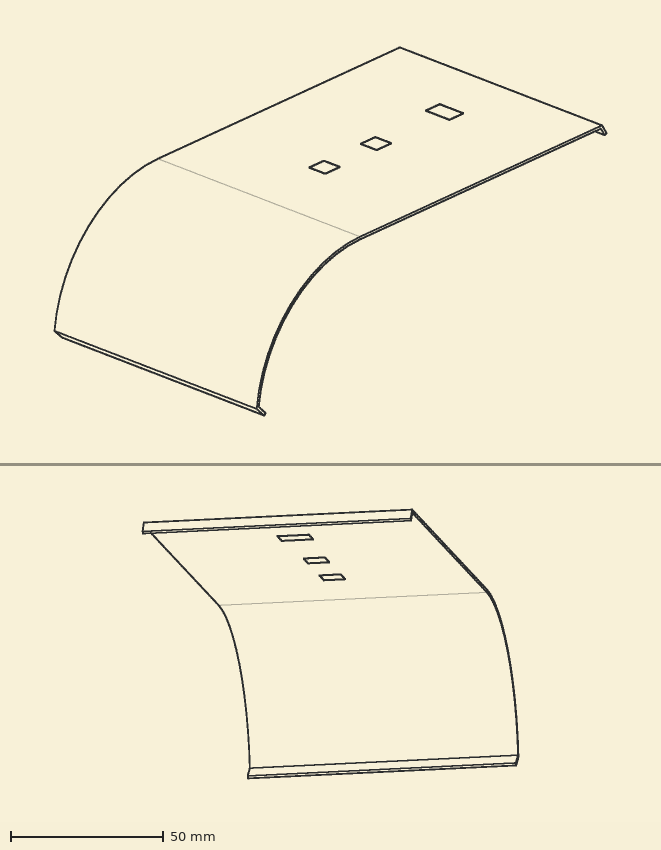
import cadquery as cq
import math

width = 90.0
length = 170.1
height = 49.0
thickness = 1.0

pad_rise = 0.2
pads = [
    (55.5, 10.5, 6.8),
    (22.1, 7.1, 7.1),
    (-2.9, 7.1, 7.1),
]

bend_start_y = -34.7
back_lip_run = 2.2
back_lip_angle = math.radians(58)
front_lip_drop = 3.7
front_lip_angle = math.radians(45)

front_y = -length / 2
fold_z = -(height - pad_rise - front_lip_drop)
bend_run = bend_start_y - front_y
outer_radius = (bend_run**2 + fold_z**2) / (2 * -fold_z)
inner_radius = outer_radius - thickness
center_z = -outer_radius
bend_angle = math.atan2(bend_run, fold_z - center_z)


def bend_point(radius, angle):
    """Point (Y, Z) on the bend, with the angle measured from the tangent line."""
    return (bend_start_y - radius * math.sin(angle), center_z + radius * math.cos(angle))


def shifted(point, direction, distance):
    """Point moved along a unit direction."""
    return (point[0] + direction[0] * distance, point[1] + direction[1] * distance)


back_fold = (length / 2 - back_lip_run, 0)
back_tip = (length / 2, -back_lip_run * math.tan(back_lip_angle))
back_inward = (-math.sin(back_lip_angle), -math.cos(back_lip_angle))
back_tip_inner = shifted(back_tip, back_inward, thickness)
back_fold_inner = (back_fold[0] - thickness * math.tan(back_lip_angle / 2), -thickness)

front_fold = (front_y, fold_z)
front_along = (math.cos(front_lip_angle), -math.sin(front_lip_angle))
front_inward = (math.sin(front_lip_angle), math.cos(front_lip_angle))
front_tip = shifted(front_fold, front_along, front_lip_drop / math.sin(front_lip_angle))
front_tip_inner = shifted(front_tip, front_inward, thickness)

line_start = shifted(front_fold, front_inward, thickness)
offset_y = line_start[0] - bend_start_y
offset_z = line_start[1] - center_z
half_slope = offset_y * front_along[0] + offset_z * front_along[1]
excess = offset_y**2 + offset_z**2 - inner_radius**2
fold_distance = -half_slope - math.sqrt(half_slope**2 - excess)
front_fold_inner = shifted(line_start, front_along, fold_distance)
inner_bend_angle = math.atan2(bend_start_y - front_fold_inner[0], front_fold_inner[1] - center_z)

result = (
    cq.Workplane("YZ")
    .moveTo(*back_tip)
    .lineTo(*back_fold)
    .lineTo(bend_start_y, 0)
    .threePointArc(bend_point(outer_radius, bend_angle / 2), front_fold)
    .lineTo(*front_tip)
    .lineTo(*front_tip_inner)
    .lineTo(*front_fold_inner)
    .threePointArc(bend_point(inner_radius, inner_bend_angle / 2), (bend_start_y, -thickness))
    .lineTo(*back_fold_inner)
    .lineTo(*back_tip_inner)
    .close()
    .extrude(width / 2, both=True)
)

pad_height = thickness + 2 * pad_rise
for center_y, size_x, size_y in pads:
    pad = cq.Workplane("XY").box(size_x, size_y, pad_height)
    result = result.union(pad.translate((0, center_y, -thickness / 2)))